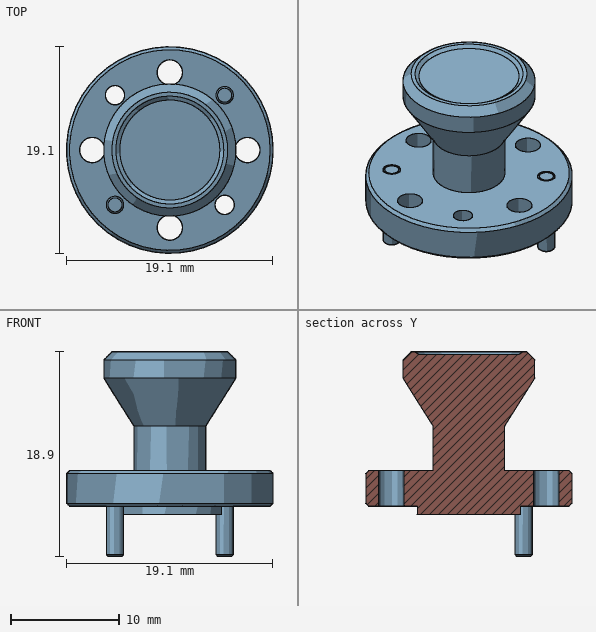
import cadquery as cq
import math

flange_diameter = 19.05
flange_thickness = 3.31
flange_chamfer = 0.29

spigot_diameter = flange_diameter / 2
spigot_height = 0.76

neck_diameter = 6.63
neck_height = 4.08
cone_height = 4.42
rim_diameter = 12.2
rim_height = 1.68
rim_chamfer = 0.76
dish_diameter = 9.95
dish_floor_diameter = 9.22
dish_depth = 0.25

pitch_radius = 7.15
screw_hole_diameter = 2.3
dowel_hole_diameter = 1.75
pin_diameter = 1.6
pin_chamfer = 0.15
pin_projection = 4.61

screw_hole_angles = (0, 90, 180, 270)
dowel_hole_angles = (135, 315)
pin_angles = (45, 225)


def on_pitch_circle(angles):
    """Points on the pitch circle at the given angles in degrees."""
    return [
        (pitch_radius * math.cos(math.radians(a)), pitch_radius * math.sin(math.radians(a)))
        for a in angles
    ]


def make_body():
    """Spigot, flange and knob as one half profile turned about Z."""
    flange_radius = flange_diameter / 2
    spigot_radius = spigot_diameter / 2
    neck_radius = neck_diameter / 2
    rim_radius = rim_diameter / 2
    cone_bottom = flange_thickness + neck_height
    rim_bottom = cone_bottom + cone_height
    rim_top = rim_bottom + rim_height
    knob_top = rim_top + rim_chamfer
    profile = [
        (0, -spigot_height),
        (spigot_radius, -spigot_height),
        (spigot_radius, 0),
        (flange_radius - flange_chamfer, 0),
        (flange_radius, flange_chamfer),
        (flange_radius, flange_thickness - flange_chamfer),
        (flange_radius - flange_chamfer, flange_thickness),
        (neck_radius, flange_thickness),
        (neck_radius, cone_bottom),
        (rim_radius, rim_bottom),
        (rim_radius, rim_top),
        (rim_radius - rim_chamfer, knob_top),
        (dish_diameter / 2, knob_top),
        (dish_floor_diameter / 2, knob_top - dish_depth),
        (0, knob_top - dish_depth),
    ]
    return cq.Workplane("XZ").polyline(profile).close().revolve(360, (0, 0, 0), (0, 1, 0))


def flange_holes(diameter, angles):
    """Cylinders the full thickness of the flange, used to cut through holes."""
    centres = on_pitch_circle(angles)
    return cq.Workplane("XY").pushPoints(centres).circle(diameter / 2).extrude(flange_thickness)


def make_pins():
    """Dowel pins, chamfered at both ends, with their tops flush with the flange."""
    pins = (
        cq.Workplane("XY", origin=(0, 0, -pin_projection))
        .pushPoints(on_pitch_circle(pin_angles))
        .circle(pin_diameter / 2)
        .extrude(pin_projection + flange_thickness)
    )
    return pins.faces("<Z or >Z").chamfer(pin_chamfer)


result = (
    make_body()
    .cut(flange_holes(screw_hole_diameter, screw_hole_angles))
    .cut(flange_holes(dowel_hole_diameter, dowel_hole_angles))
    .cut(flange_holes(pin_diameter, pin_angles))
    .union(make_pins())
)